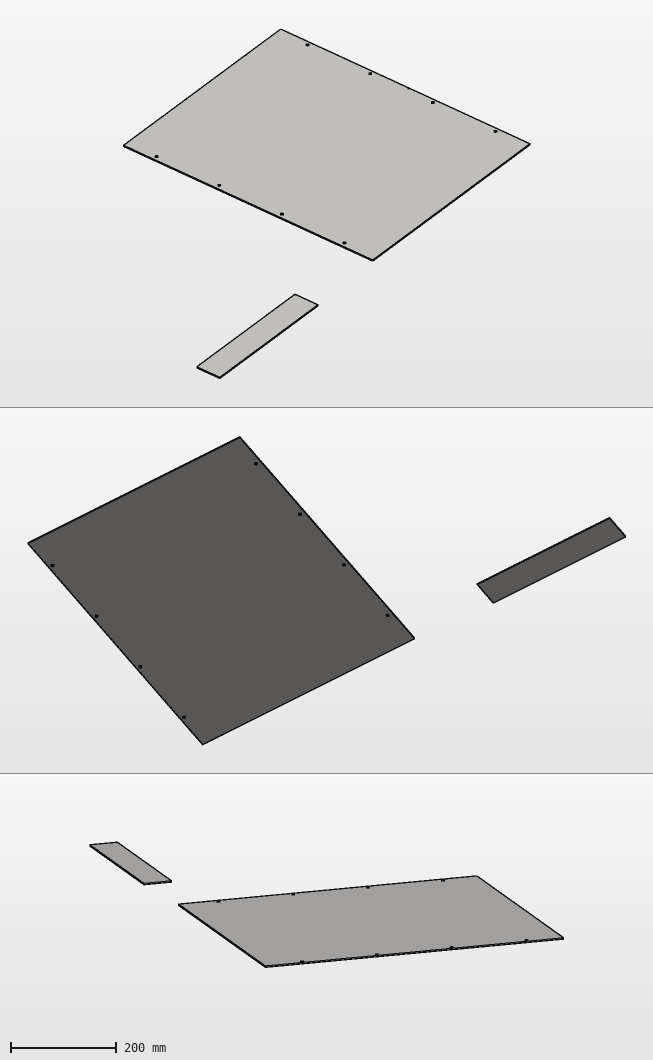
import cadquery as cq

overall_width = 606.0
overall_length = 954.0
overall_height = 6.1

panel_width = 600.0
panel_length = 480.0
panel_thickness = 3.0
panel_bottom = overall_height - panel_thickness

hole_diameter = 5.5
holes_per_row = 4
hole_pitch = 151.0
first_hole_x = 72.0
front_edge_distance = 10.5
back_edge_distance = 9.0

strip_width = 55.0
strip_length = 300.0
strip_thickness = 3.0


def hole_centers():
    """Hole positions measured from the front left corner of the panel."""
    rows = (front_edge_distance, panel_length - back_edge_distance)
    return [(first_hole_x + i * hole_pitch, y) for y in rows for i in range(holes_per_row)]


def make_panel():
    """Thin rectangular panel in the back left corner, with two rows of through holes."""
    blank = cq.Workplane("XY").box(panel_width, panel_length, panel_thickness, centered=False)
    holes = (
        cq.Workplane("XY")
        .pushPoints(hole_centers())
        .circle(hole_diameter / 2)
        .extrude(panel_thickness)
    )
    return blank.cut(holes).translate((0, overall_length - panel_length, panel_bottom))


def make_strip():
    """Plain thin strip in the front right corner."""
    return (
        cq.Workplane("XY")
        .box(strip_width, strip_length, strip_thickness, centered=False)
        .translate((overall_width - strip_width, 0, 0))
    )


panel = make_panel()
strip = make_strip()

result = cq.Compound.makeCompound([panel.val(), strip.val()])